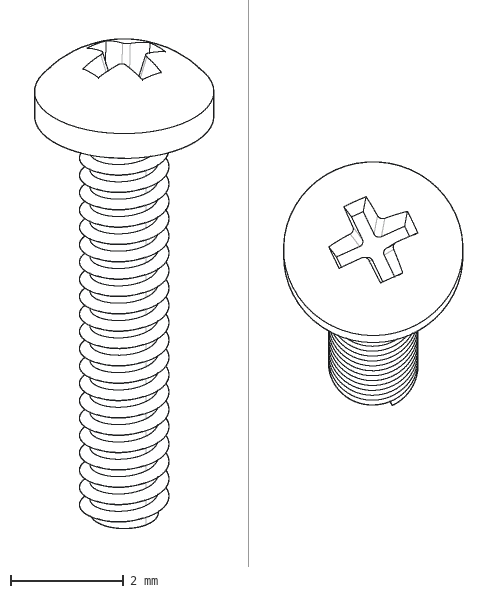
import cadquery as cq
import math


head_diameter = 3.2
rim_height = 0.5
head_height = 1.3

thread_diameter = 1.6
pitch = 0.35
shank_length = 8.0
flank_angle = 60.0
ridge_fraction = 5 / 8
thread_sharp_height = pitch / (2 * math.tan(math.radians(flank_angle / 2)))
ridge_height = ridge_fraction * thread_sharp_height
ridge_width = ridge_fraction * pitch
core_radius = thread_diameter / 2 - ridge_height
ridge_overlap = 0.05
thread_turns = math.ceil(shank_length / pitch)

recess_floor = 0.6
recess_floor_length = 1.34
recess_floor_width = 0.23
recess_draft = 11.0
recess_corner_radius = 0.1
recess_cut_height = head_height - recess_floor


def make_head():
    """Cylindrical rim topped by a spherical dome."""
    radius = head_diameter / 2
    dome_rise = head_height - rim_height
    dome_radius = (radius**2 + dome_rise**2) / (2 * dome_rise)
    dome_centre = head_height - dome_radius
    middle_x = radius / 2
    middle_z = dome_centre + math.sqrt(dome_radius**2 - middle_x**2)
    return (
        cq.Workplane("XZ")
        .lineTo(radius, 0)
        .lineTo(radius, rim_height)
        .threePointArc((middle_x, middle_z), (0, head_height))
        .close()
        .revolve(360, (0, 0), (0, 1))
    )


def make_core():
    """Plain cylinder at the root of the thread, below the head."""
    return cq.Workplane("XY").circle(core_radius).extrude(-shank_length)


def make_thread():
    """Right-handed V ridge that starts on the -X side, flush with the tip."""
    path = cq.Wire.makeHelix(pitch, pitch * thread_turns, core_radius)
    inner_radius = core_radius - ridge_overlap
    ridge = (
        cq.Workplane("XZ")
        .moveTo(inner_radius, 0)
        .lineTo(core_radius, 0)
        .lineTo(thread_diameter / 2, ridge_width / 2)
        .lineTo(core_radius, ridge_width)
        .lineTo(inner_radius, ridge_width)
        .close()
        .sweep(cq.Workplane(path), isFrenet=True)
    )
    return ridge.rotate((0, 0, 0), (0, 0, 1), 180).translate((0, 0, -shank_length))


def make_recess_arm(length, width):
    """Straight slot cutter whose four walls lean outward toward the top."""
    spread = 2 * recess_cut_height * math.tan(math.radians(recess_draft))
    return (
        cq.Workplane("XY", origin=(0, 0, recess_floor))
        .rect(length, width)
        .workplane(offset=recess_cut_height)
        .rect(length + spread, width + spread)
        .loft(ruled=True)
    )


def make_recess():
    """Cross-shaped cutter that widens upward, with rounded inner corners."""
    arm_along_x = make_recess_arm(recess_floor_length, recess_floor_width)
    arm_along_y = make_recess_arm(recess_floor_width, recess_floor_length)
    reach = recess_floor_width
    inner_corners = cq.selectors.BoxSelector(
        (-reach, -reach, recess_floor),
        (reach, reach, head_height),
    )
    cross = arm_along_x.union(arm_along_y)
    return cross.edges(inner_corners).fillet(recess_corner_radius)


result = make_head().union(make_core()).union(make_thread()).cut(make_recess())